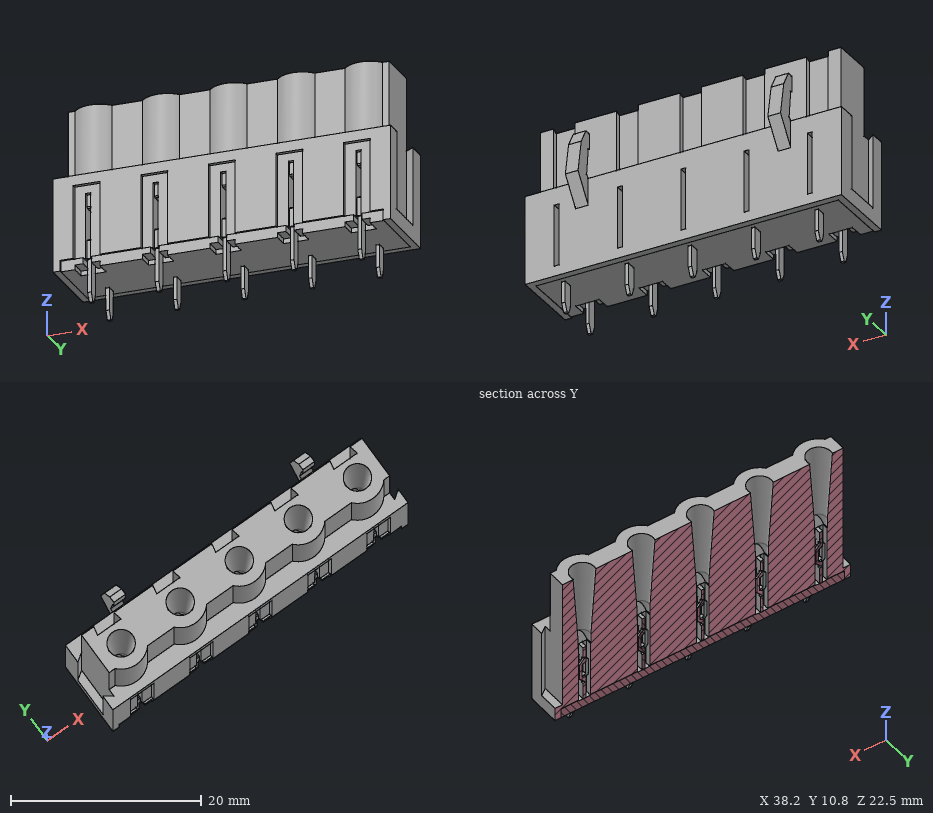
import cadquery as cq


POLE_COUNT = 5
POLE_PITCH = 7.65
POLE_Y = 3.82
POLE_XS = [POLE_PITCH * (i - (POLE_COUNT - 1) / 2) for i in range(POLE_COUNT)]

LENGTH = 38.2
DEPTH = 8.55
HEIGHT = 10.7
NOTCH_FLOOR = 1.8
NOTCH_DEPTH = 0.95
NOTCH_MOUTH_FRONT = 1.8
NOTCH_MOUTH_BACK = 6.3
NOTCH_ROOT_FRONT = 1.1
POCKET_WIDTH = 3.0
POCKET_DEPTH = 0.45
POCKET_TOP = 9.55
SLOT_WIDTH = 0.57
SLOT_TOP = 8.65

ROW_LENGTH = LENGTH - 2 * NOTCH_DEPTH
ROW_FRONT = 2.0
ROW_BACK = 6.95
ROW_TOP = 19.0
BULGE_RADIUS = 2.8
KEY_FACE_WIDTH = 2.6
KEY_ROOT_WIDTH = 3.0
KEY_DEPTH = 1.0
ENTRY_TOP_DIAMETER = 2.98
ENTRY_END_DIAMETER = 1.75
ENTRY_END_Z = 9.95
SPRING_ROOM_LENGTH = 1.53
SPRING_ROOM_WIDTH = 0.9

LATCH_X = 12.22
LATCH_WIDTH = 1.53
LATCH_INNER_Y = 8.33
LATCH_OUTER_Y = 10.75
LATCH_TOP = 16.25
LATCH_ROOT = 7.45
LATCH_HOOK_Z = 14.32
LATCH_ELBOW_Z = 10.6
LATCH_CREASE_Y = 8.9
LATCH_CREASE_Z = 11.05
LATCH_CREST_Y = 9.05
LATCH_SHOULDER_Y = 10.05
LATCH_SHOULDER_Z = 14.48

COVER_LENGTH = 36.52
COVER_HEIGHT = 1.22
COVER_INSET = 0.23
COVER_BACK = DEPTH - (LENGTH - COVER_LENGTH) / 2
FOOT_WIDTH = 2.83
FOOT_HEIGHT = 0.55
NECK_WIDTH = 0.95

SHEET = 0.42
CONTACT_TOP = 8.5
PIN_FRONT_Y = 1.4
PIN_SPACING = 5.1
CONTACT_Y = PIN_FRONT_Y + PIN_SPACING / 2
PIN_WIDTH = 1.15
PIN_TIP_WIDTH = 0.35
PIN_TAPER = 0.95
PIN_END_Z = -3.5
BLADE_LEDGE = 0.2
BLADE_CHAMFER = 0.15
HEAD_BOTTOM = 7.03
BASE_TOP = 3.45
BASE_BOTTOM = COVER_HEIGHT
SPRING_WIDTH = SPRING_ROOM_WIDTH / 2
SPRING_REACH = 0.7
SPRING_INSET = 0.3
SPRING_OUTER_Z = 6.23
SPRING_INNER_Z = 6.07
SPRING_CROTCH_Z = 6.3
SPRING_MID_Z = (HEAD_BOTTOM + BASE_TOP) / 2
SPRING_ROOT = 0.15


def block(x_size, y_start, y_end, z_start, z_end, x=0.0):
    """Box centred on x between the given Y and Z limits."""
    box = cq.Workplane("XY").box(x_size, y_end - y_start, z_end - z_start, centered=(True, False, False))
    return box.translate((x, y_start, z_start))


def yz_plate(points, thickness, x=0.0):
    """Plate of the given (Y, Z) outline, centred on x."""
    return cq.Workplane("YZ").polyline(points).close().extrude(thickness / 2, both=True).translate((x, 0, 0))



def socket_row():
    """Upper block that carries the pole entries, with a rounded bulge at each pole."""
    body = block(ROW_LENGTH, ROW_FRONT, ROW_BACK, HEIGHT, ROW_TOP)
    bulges = (
        cq.Workplane("XY").workplane(offset=HEIGHT)
        .pushPoints([(x, POLE_Y) for x in POLE_XS])
        .circle(BULGE_RADIUS).extrude(ROW_TOP - HEIGHT)
    )
    body = body.union(bulges)
    for x in POLE_XS:
        body = body.cut(keyway(x))
    return body


def keyway(x):
    """Dovetail groove in the back of the upper block."""
    root_y = ROW_BACK - KEY_DEPTH
    outline = [
        (x - KEY_FACE_WIDTH / 2, ROW_BACK),
        (x - KEY_ROOT_WIDTH / 2, root_y),
        (x + KEY_ROOT_WIDTH / 2, root_y),
        (x + KEY_FACE_WIDTH / 2, ROW_BACK),
    ]
    return cq.Workplane("XY").workplane(offset=HEIGHT).polyline(outline).close().extrude(ROW_TOP - HEIGHT)


def end_notch():
    """Dovetail notch in the -X end of the lower block, open at the top."""
    outer_x = -LENGTH / 2
    inner_x = -ROW_LENGTH / 2
    outline = [
        (outer_x, NOTCH_MOUTH_FRONT),
        (inner_x, NOTCH_ROOT_FRONT),
        (inner_x, ROW_BACK),
        (outer_x, NOTCH_MOUTH_BACK),
    ]
    return cq.Workplane("XY").workplane(offset=NOTCH_FLOOR).polyline(outline).close().extrude(HEIGHT - NOTCH_FLOOR)


def pole_entry(x):
    """Conical entry that narrows in Y to the room around the springs."""
    cone = (
        cq.Workplane("XY", origin=(x, POLE_Y, ROW_TOP)).circle(ENTRY_TOP_DIAMETER / 2)
        .workplane(offset=ENTRY_END_Z - ROW_TOP).circle(ENTRY_END_DIAMETER / 2).loft(ruled=True)
    )
    throat = (
        cq.Workplane("XY", origin=(x, POLE_Y, SLOT_TOP)).circle(ENTRY_END_DIAMETER / 2)
        .extrude(ENTRY_END_Z - SLOT_TOP)
    )
    wedge = yz_plate(
        [
            (POLE_Y - ENTRY_END_DIAMETER / 2, ENTRY_END_Z),
            (CONTACT_Y - SPRING_ROOM_WIDTH / 2, SLOT_TOP),
            (CONTACT_Y + SPRING_ROOM_WIDTH / 2, SLOT_TOP),
            (POLE_Y + ENTRY_END_DIAMETER / 2, ENTRY_END_Z),
        ],
        ENTRY_END_DIAMETER, x,
    )
    return cone.union(throat.intersect(wedge))


def contact_chamber(x):
    """Slot around the contact, through front to back, widened around the springs."""
    room_front = CONTACT_Y - SPRING_ROOM_WIDTH / 2
    room_back = CONTACT_Y + SPRING_ROOM_WIDTH / 2
    slot = block(SLOT_WIDTH, 0, DEPTH, COVER_HEIGHT, SLOT_TOP, x)
    room = block(SPRING_ROOM_LENGTH, room_front, room_back, COVER_HEIGHT, SLOT_TOP, x)
    return slot.union(room)


def latch(x):
    """Hooked lever that rises from the back of the housing."""
    outline = [
        (DEPTH, LATCH_ROOT),
        (DEPTH, HEIGHT),
        (LATCH_CREASE_Y, LATCH_CREASE_Z),
        (DEPTH, LATCH_HOOK_Z),
        (LATCH_INNER_Y, LATCH_HOOK_Z),
        (LATCH_INNER_Y, LATCH_TOP),
        (LATCH_CREST_Y, LATCH_TOP),
        (LATCH_SHOULDER_Y, LATCH_SHOULDER_Z),
        (LATCH_OUTER_Y, LATCH_ELBOW_Z),
    ]
    return yz_plate(outline, LATCH_WIDTH, x)


def make_housing():
    body = block(LENGTH, 0, DEPTH, 0, HEIGHT).union(socket_row())
    notch = end_notch()
    body = body.cut(notch).cut(notch.mirror("YZ"))
    body = body.cut(block(COVER_LENGTH, 0, COVER_BACK, 0, COVER_HEIGHT))
    for x in POLE_XS:
        body = body.cut(block(POCKET_WIDTH, 0, POCKET_DEPTH, COVER_HEIGHT, POCKET_TOP, x))
        body = body.cut(pole_entry(x))
        body = body.cut(contact_chamber(x))
    for x in (-LATCH_X, LATCH_X):
        body = body.union(latch(x))
    return body



def make_cover():
    """Plate that closes the underside of the housing and lets the pins through."""
    body = block(COVER_LENGTH, COVER_INSET, COVER_BACK, 0, COVER_HEIGHT)
    passage_back = PIN_FRONT_Y + PIN_WIDTH / 2
    hole_front = PIN_FRONT_Y + PIN_SPACING - PIN_WIDTH / 2
    hole_back = hole_front + PIN_WIDTH
    for x in POLE_XS:
        body = body.cut(block(FOOT_WIDTH, COVER_INSET, passage_back, 0, FOOT_HEIGHT, x))
        body = body.cut(block(NECK_WIDTH, COVER_INSET, passage_back, 0, COVER_HEIGHT, x))
        body = body.cut(block(SHEET, hole_front, hole_back, 0, COVER_HEIGHT, x))
    return body



def pin(y):
    """Solder pin with a tapered tip, centred on y."""
    half = PIN_WIDTH / 2
    half_tip = PIN_TIP_WIDTH / 2
    outline = [
        (y - half, BASE_BOTTOM),
        (y - half, PIN_END_Z + PIN_TAPER),
        (y - half_tip, PIN_END_Z),
        (y + half_tip, PIN_END_Z),
        (y + half, PIN_END_Z + PIN_TAPER),
        (y + half, BASE_BOTTOM),
    ]
    return yz_plate(outline, SHEET)


def bowed_spring(y_start):
    """Strip between base and head that bows out toward -X."""
    half = SHEET / 2
    upper = [
        (half, HEAD_BOTTOM),
        (half - SPRING_ROOT, HEAD_BOTTOM),
        (-SPRING_REACH, SPRING_OUTER_Z),
    ]
    inner_upper = [(-SPRING_INSET, SPRING_INNER_Z), (half, SPRING_CROTCH_Z)]
    lower = [(x, 2 * SPRING_MID_Z - z) for x, z in reversed(upper)]
    inner_lower = [(x, 2 * SPRING_MID_Z - z) for x, z in reversed(inner_upper)]
    outline = upper + lower + inner_lower + inner_upper
    strip = cq.Workplane("XZ").polyline(outline).close().extrude(-SPRING_WIDTH)
    return strip.translate((0, y_start, 0))


def make_contact():
    """Flat blade with two pins, split at mid-height and joined by two opposed springs."""
    front = PIN_FRONT_Y - PIN_WIDTH / 2 - BLADE_LEDGE
    back = PIN_FRONT_Y + PIN_SPACING + PIN_WIDTH / 2
    head = block(SHEET, front, back, HEAD_BOTTOM, CONTACT_TOP)
    head = head.faces("<Y").edges("<Z").chamfer(BLADE_CHAMFER)
    base = block(SHEET, front, back, BASE_BOTTOM, BASE_TOP)
    base = base.faces("<Y").edges(">Z").chamfer(BLADE_CHAMFER)
    front_spring = bowed_spring(CONTACT_Y - SPRING_WIDTH)
    back_spring = bowed_spring(CONTACT_Y).mirror("YZ")
    body = head.union(front_spring).union(back_spring).union(base)
    for y in (PIN_FRONT_Y, PIN_FRONT_Y + PIN_SPACING):
        body = body.union(pin(y))
    return body


housing = make_housing()
cover = make_cover()
contact = make_contact()
contacts = [contact.translate((x, 0, 0)).val() for x in POLE_XS]

result = cq.Compound.makeCompound([housing.val(), cover.val(), *contacts])